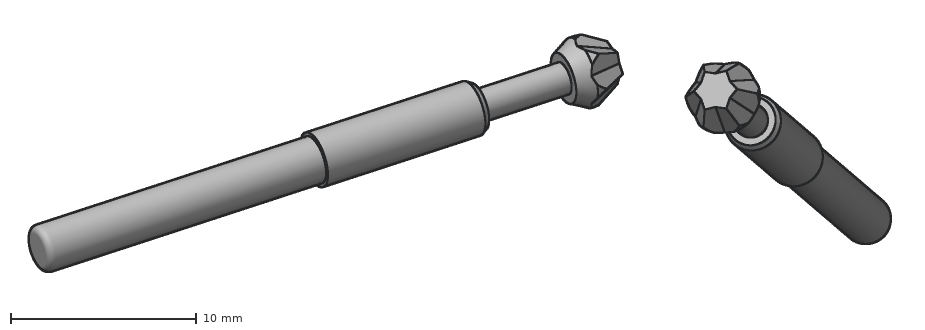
import cadquery as cq
import math

head_diameter = 4.0

total_length = 35.3
head_length = 3.0
plunger_length = 5.3
collar_length = 10.03
barrel_length = total_length - head_length - plunger_length - collar_length

collar_end = barrel_length + collar_length
head_start = collar_end + plunger_length

barrel_radius = 1.35
collar_radius = 1.55
plunger_radius = 0.92
head_radius = head_diameter / 2
head_back_radius = 1.45

tail_fillet = 0.4
collar_bevel_length = 0.35
collar_bevel_depth = 0.2
head_back_cone_length = 1.02

ridge_count = 6
ridge_half_angle = 30.0
tip_ridge_radius = 1.2
valley_ratio = 0.77


def revolve_about_y(outline):
    """Close an outline that starts and ends on the Y axis and spin it about Y."""
    return outline.close().revolve(360, (0, 0, 0), (0, 1, 0))


def round_body():
    """Barrel, collar and plunger, with a rounded tail and a bevelled collar."""
    arc_offset = tail_fillet * math.sin(math.radians(45))
    return revolve_about_y(
        cq.Workplane("XY")
        .lineTo(barrel_radius - tail_fillet, 0)
        .threePointArc(
            (barrel_radius - tail_fillet + arc_offset, tail_fillet - arc_offset),
            (barrel_radius, tail_fillet),
        )
        .lineTo(barrel_radius, barrel_length)
        .lineTo(collar_radius, barrel_length)
        .lineTo(collar_radius, collar_end - collar_bevel_length)
        .lineTo(collar_radius - collar_bevel_depth, collar_end)
        .lineTo(plunger_radius, collar_end)
        .lineTo(plunger_radius, head_start)
        .lineTo(0, head_start)
    )


def head_blank():
    """Round head with a conical back."""
    return revolve_about_y(
        cq.Workplane("XY")
        .moveTo(0, head_start)
        .lineTo(head_back_radius, head_start)
        .lineTo(head_radius, head_start + head_back_cone_length)
        .lineTo(head_radius, total_length)
        .lineTo(0, total_length)
    )


def star_points(ridge_radius):
    """Alternate ridge and valley points, with the first ridge on +X."""
    points = []
    for index in range(2 * ridge_count):
        is_ridge = index % 2 == 0
        radius = ridge_radius if is_ridge else ridge_radius * valley_ratio
        angle = math.pi * index / ridge_count
        points.append((radius * math.cos(angle), radius * math.sin(angle)))
    return points


def star_crown():
    """Star-shaped frustum that narrows from the back of the head to its tip."""
    back_ridge_radius = tip_ridge_radius + head_length * math.tan(math.radians(ridge_half_angle))
    back_plane = cq.Plane(origin=(0, head_start, 0), xDir=(1, 0, 0), normal=(0, 1, 0))
    return (
        cq.Workplane(back_plane)
        .polyline(star_points(back_ridge_radius))
        .close()
        .workplane(offset=head_length)
        .polyline(star_points(tip_ridge_radius))
        .close()
        .loft(ruled=True)
    )


head = head_blank().intersect(star_crown())

result = round_body().union(head)